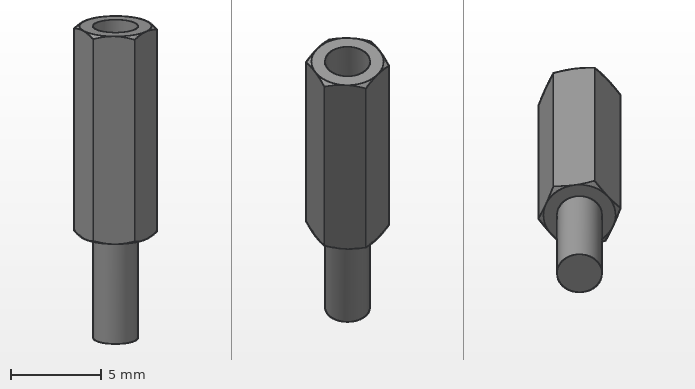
import cadquery as cq
import math

TOTAL_LENGTH = 18.0
STUD_EXPOSED = 6.0
ACROSS_FLATS = 4.0
BORE_DIAMETER = 2.5
STUD_INSERTION = 6.0
CORNER_CHAMFER_ANGLE = 30.0

SLEEVE_LENGTH = TOTAL_LENGTH - STUD_EXPOSED
ACROSS_CORNERS = ACROSS_FLATS / math.cos(math.radians(30))
FACE_RADIUS = ACROSS_FLATS / 2
CORNER_RADIUS = ACROSS_CORNERS / 2
CHAMFER_HEIGHT = (CORNER_RADIUS - FACE_RADIUS) * math.tan(math.radians(CORNER_CHAMFER_ANGLE))


def make_corner_envelope():
    """Revolved blank whose conical ends bevel the hexagon corners."""
    return (
        cq.Workplane("XZ")
        .moveTo(0, 0)
        .lineTo(FACE_RADIUS, 0)
        .lineTo(CORNER_RADIUS, CHAMFER_HEIGHT)
        .lineTo(CORNER_RADIUS, SLEEVE_LENGTH - CHAMFER_HEIGHT)
        .lineTo(FACE_RADIUS, SLEEVE_LENGTH)
        .lineTo(0, SLEEVE_LENGTH)
        .close()
        .revolve(360, (0, 0, 0), (0, 1, 0))
    )


def make_sleeve():
    """Hexagonal sleeve with flats facing X, bevelled corners and a through bore."""
    hexagon = (
        cq.Workplane("XY")
        .polygon(6, ACROSS_CORNERS)
        .extrude(SLEEVE_LENGTH)
        .rotate((0, 0, 0), (0, 0, 1), 30)
    )
    bore = cq.Workplane("XY").circle(BORE_DIAMETER / 2).extrude(SLEEVE_LENGTH)
    return hexagon.intersect(make_corner_envelope()).cut(bore)


def make_stud():
    """Plain round stud filling the lower part of the sleeve bore."""
    return (
        cq.Workplane("XY")
        .workplane(offset=-STUD_EXPOSED)
        .circle(BORE_DIAMETER / 2)
        .extrude(STUD_EXPOSED + STUD_INSERTION)
    )


sleeve = make_sleeve()
stud = make_stud()

result = cq.Compound.makeCompound([sleeve.val(), stud.val()])